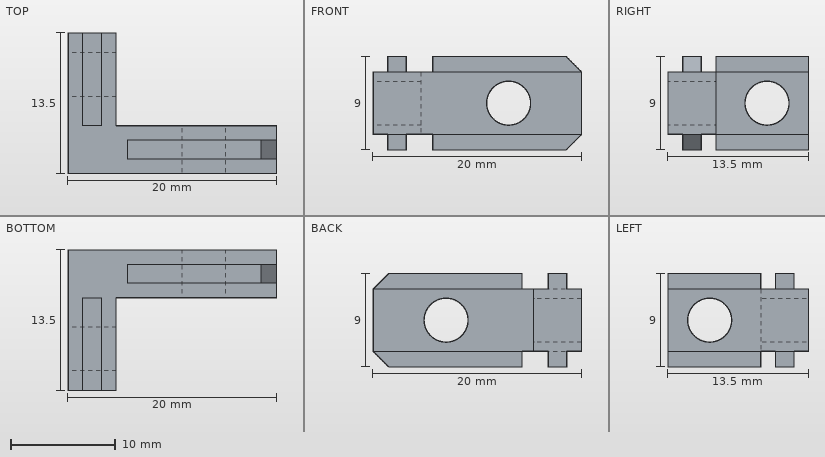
import cadquery as cq

length_x = 20.0
length_y = 13.5
height = 9.0

leg_width = 4.6
body_height = 6.0

rib_width = 1.8
rib_height = (height - body_height) / 2
rib_inset = (leg_width - rib_width) / 2
long_rib_start = 5.7
short_rib_start = leg_width

hole_diameter = 4.2
long_leg_hole_x = 13.0
short_leg_hole_y = 9.5


def centred_box(x_start, x_end, y_start, y_end, box_height):
    """Box between the given X and Y limits, centred on Z = 0."""
    return (
        cq.Workplane("XY", origin=(x_start, y_start, 0))
        .box(x_end - x_start, y_end - y_start, box_height, centered=(False, False, True))
    )


long_leg = centred_box(0, length_x, 0, leg_width, body_height)
short_leg = centred_box(0, leg_width, 0, length_y, body_height)

long_bar = centred_box(
    long_rib_start, length_x, rib_inset, rib_inset + rib_width, height
)
long_bar = long_bar.faces(">X").edges("|Y").chamfer(rib_height)
short_bar = centred_box(
    rib_inset, rib_inset + rib_width, short_rib_start, length_y, height
)

long_leg_hole = (
    cq.Workplane("XZ", origin=(long_leg_hole_x, 0, 0))
    .circle(hole_diameter / 2)
    .extrude(-leg_width)
)
short_leg_hole = (
    cq.Workplane("YZ", origin=(0, short_leg_hole_y, 0))
    .circle(hole_diameter / 2)
    .extrude(leg_width)
)

body = long_leg.union(short_leg).union(long_bar).union(short_bar)
result = body.cut(long_leg_hole).cut(short_leg_hole)